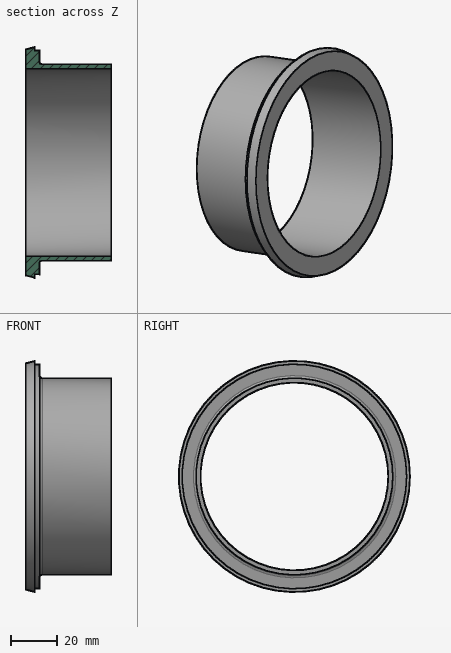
import cadquery as cq
import math

length = 37.0
bore_diameter = 81.0
sleeve_diameter = 85.0
rim_diameter = 100.0
rim_width = 4.0
rim_taper_angle = 15.0
step_diameter = 97.0
step_width = 2.0
root_radius = 1.2

bore_radius = bore_diameter / 2
sleeve_radius = sleeve_diameter / 2
rim_radius = rim_diameter / 2
face_radius = rim_radius - rim_width * math.tan(math.radians(rim_taper_angle))
step_radius = step_diameter / 2
flange_width = rim_width + step_width

root_center_x = flange_width + root_radius
root_center_radius = sleeve_radius + root_radius
root_arc_offset = root_radius * math.cos(math.radians(45))
root_arc_middle = (root_center_x - root_arc_offset, root_center_radius - root_arc_offset)


def make_flanged_ring():
    """Revolve the half section, drawn as (axial position, radius), about X."""
    section = (
        cq.Workplane("XY")
        .moveTo(0, bore_radius)
        .lineTo(0, face_radius)
        .lineTo(rim_width, rim_radius)
        .lineTo(rim_width, step_radius)
        .lineTo(flange_width, step_radius)
        .lineTo(flange_width, root_center_radius)
        .threePointArc(root_arc_middle, (root_center_x, sleeve_radius))
        .lineTo(length, sleeve_radius)
        .lineTo(length, bore_radius)
        .close()
    )
    return section.revolve(360, (0, 0, 0), (1, 0, 0))


result = make_flanged_ring()